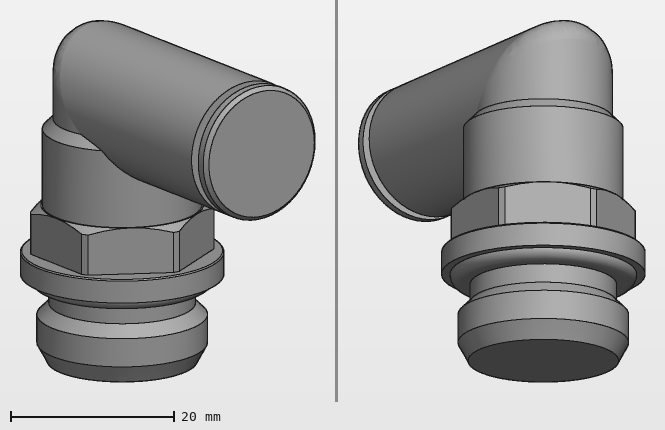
import cadquery as cq
import math

SEAL_BOTTOM_Z = 9.75
FLANGE_BOTTOM_Z = 11.1
FLANGE_TOP_Z = 14.05
HEX_TOP_Z = 19.95
OVERALL_HEIGHT = 42.0

THREAD_DIAMETER = 20.95
THREAD_TIP_DIAMETER = 18.5
THREAD_TIP_LENGTH = 2.3
THREAD_TOP_Z = 5.92
NECK_DIAMETER = 18.0
FLANGE_DIAMETER = 25.0
FLANGE_CHAMFER = 0.15
HEX_ACROSS_FLATS = 20.0
HEX_CORNER_DIAMETER = 22.6
HEX_CHAMFER_ANGLE = 30.0

SEAL_DIAMETER = 22.9
SEAL_ROUNDING = 1.2

SOCKET_DIAMETER = 19.6
SOCKET_TOP_Z = 29.7
TUBE_DIAMETER = 17.0
TUBE_END_X = 26.1
TUBE_NECK_DIAMETER = 12.9
ELBOW_ROUNDING = 3.02

COLLAR_SPIGOT_DIAMETER = 12.25
COLLAR_DISC_X = 27.45
COLLAR_GAP = 0.15
COLLAR_CHAMFER = 0.5
OVERALL_LENGTH = 41.5

tube_radius = TUBE_DIAMETER / 2
tube_axis_z = OVERALL_HEIGHT - tube_radius
tube_neck_end_x = COLLAR_DISC_X - COLLAR_GAP
collar_end_x = OVERALL_LENGTH - FLANGE_DIAMETER / 2
neck_bottom_z = THREAD_TOP_Z + (THREAD_DIAMETER - NECK_DIAMETER) / 2


def cylinder_up(diameter, bottom_z, top_z):
    """Cylinder on the Z axis."""
    return cq.Workplane("XY").workplane(offset=bottom_z).circle(diameter / 2).extrude(top_z - bottom_z)


def cylinder_along_x(diameter, start_x, end_x):
    """Cylinder on the axis of the horizontal tube."""
    return (
        cq.Workplane("YZ", origin=(start_x, 0, tube_axis_z))
        .circle(diameter / 2)
        .extrude(end_x - start_x)
    )


def revolve_about_z(profile):
    """Solid of revolution from (radius, z) points."""
    return cq.Workplane("XZ").polyline(profile).close().revolve(360, (0, 0, 0), (0, 1, 0))


def make_hexagon():
    """Hexagon with corners on X, turned corners and a conical top chamfer."""
    corner_radius = HEX_CORNER_DIAMETER / 2
    flat_radius = HEX_ACROSS_FLATS / 2
    chamfer_height = (corner_radius - flat_radius) * math.tan(math.radians(HEX_CHAMFER_ANGLE))
    prism = (
        cq.Workplane("XY")
        .workplane(offset=FLANGE_TOP_Z)
        .polygon(6, HEX_ACROSS_FLATS / math.cos(math.radians(30)))
        .extrude(HEX_TOP_Z - FLANGE_TOP_Z)
    )
    turned_blank = revolve_about_z([
        (0, FLANGE_TOP_Z),
        (corner_radius, FLANGE_TOP_Z),
        (corner_radius, HEX_TOP_Z - chamfer_height),
        (flat_radius, HEX_TOP_Z),
        (0, HEX_TOP_Z),
    ])
    return prism.intersect(turned_blank)


def make_stud():
    """Threaded end, neck and flange turned in one piece with the hexagon."""
    shank = revolve_about_z([
        (0, 0),
        (THREAD_TIP_DIAMETER / 2, 0),
        (THREAD_DIAMETER / 2, THREAD_TIP_LENGTH),
        (THREAD_DIAMETER / 2, THREAD_TOP_Z),
        (NECK_DIAMETER / 2, neck_bottom_z),
        (NECK_DIAMETER / 2, FLANGE_BOTTOM_Z),
        (0, FLANGE_BOTTOM_Z),
    ])
    flange = cylinder_up(FLANGE_DIAMETER, FLANGE_BOTTOM_Z, FLANGE_TOP_Z).faces(">Z").chamfer(FLANGE_CHAMFER)
    return shank.union(flange).union(make_hexagon())


def make_seal():
    """Ring around the neck, rounded at its lower outer edge."""
    disc = cylinder_up(SEAL_DIAMETER, SEAL_BOTTOM_Z, FLANGE_BOTTOM_Z).faces("<Z").edges().fillet(SEAL_ROUNDING)
    return disc.cut(cylinder_up(NECK_DIAMETER, SEAL_BOTTOM_Z, FLANGE_BOTTOM_Z))


def make_bend_envelope():
    """Block whose upper corner is the mitre of the two tubes, rounded along its edge.

    Each half is a tube stretched into a stadium, so it only trims the outer side of the bend.
    """
    reach = OVERALL_HEIGHT
    rounded_in_plan = cylinder_up(TUBE_DIAMETER, 0, OVERALL_HEIGHT).union(
        cq.Workplane("XY").box(reach, TUBE_DIAMETER, OVERALL_HEIGHT, centered=(False, True, False))
    )
    rounded_on_top = cylinder_along_x(TUBE_DIAMETER, -reach, reach).union(
        cq.Workplane("XY").box(2 * reach, TUBE_DIAMETER, tube_axis_z, centered=(True, True, False))
    )
    mitred = rounded_in_plan.intersect(rounded_on_top)
    corner_box = cq.selectors.BoxSelector(
        (-tube_radius, -tube_radius, tube_axis_z),
        (-tube_radius / 4, tube_radius, OVERALL_HEIGHT),
    )
    return mitred.edges(corner_box).fillet(ELBOW_ROUNDING)


def make_elbow():
    """Vertical socket and horizontal tube meeting in a rounded mitre, with a hollow neck at the open end."""
    riser = cylinder_up(TUBE_DIAMETER, HEX_TOP_Z, OVERALL_HEIGHT)
    tube = cylinder_along_x(TUBE_DIAMETER, -tube_radius, TUBE_END_X)
    bend = riser.union(tube).intersect(make_bend_envelope())
    shoulder_chamfer = (SOCKET_DIAMETER - TUBE_DIAMETER) / 2
    shoulder_z = SOCKET_TOP_Z + shoulder_chamfer
    socket = cylinder_up(SOCKET_DIAMETER, HEX_TOP_Z, shoulder_z).faces(">Z").chamfer(shoulder_chamfer)
    neck = cylinder_along_x(TUBE_NECK_DIAMETER, TUBE_END_X, tube_neck_end_x)
    spigot_hole = cylinder_along_x(COLLAR_SPIGOT_DIAMETER, TUBE_END_X, tube_neck_end_x)
    return bend.union(socket).union(neck.cut(spigot_hole))


def make_collar():
    """Push-in release collar: a spigot seated in the tube neck and a disc with a chamfered outer edge."""
    spigot = cylinder_along_x(COLLAR_SPIGOT_DIAMETER, TUBE_END_X, COLLAR_DISC_X)
    disc = cylinder_along_x(TUBE_DIAMETER, COLLAR_DISC_X, collar_end_x).faces(">X").chamfer(COLLAR_CHAMFER)
    return spigot.union(disc)


stud = make_stud()
seal = make_seal()
elbow = make_elbow()
collar = make_collar()

result = cq.Compound.makeCompound([stud.val(), seal.val(), elbow.val(), collar.val()])